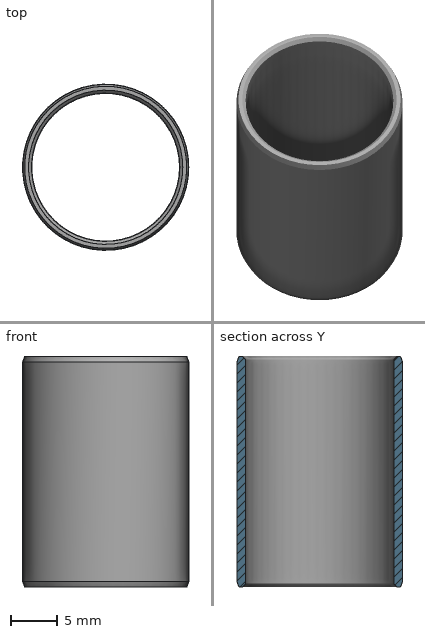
import cadquery as cq

length = 25.0
outer_radius = 9.0
bore_radius = 8.0

outer_chamfer_width = 0.22
outer_chamfer_height = 0.6
bore_chamfer_width = 0.35
bore_chamfer_height = 0.35


def wall_section():
    """Half section of the sleeve wall in XZ, with both ends chamfered inside and out."""
    outer_face_radius = outer_radius - outer_chamfer_width
    bore_face_radius = bore_radius + bore_chamfer_width
    return (
        cq.Workplane("XZ")
        .moveTo(bore_face_radius, 0)
        .lineTo(outer_face_radius, 0)
        .lineTo(outer_radius, outer_chamfer_height)
        .lineTo(outer_radius, length - outer_chamfer_height)
        .lineTo(outer_face_radius, length)
        .lineTo(bore_face_radius, length)
        .lineTo(bore_radius, length - bore_chamfer_height)
        .lineTo(bore_radius, bore_chamfer_height)
        .close()
    )


result = wall_section().revolve(360, (0, 0, 0), (0, 1, 0))